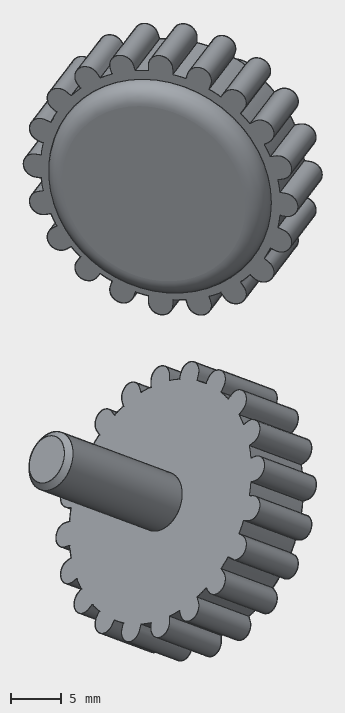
import cadquery as cq

outer_diameter = 28.5
total_length = 25.3

tooth_count = 20
tooth_width = 2.55
root_diameter = 24.9
grip_length = 7.32

cap_diameter = 23.0
cap_height = 2.0

shank_diameter = 6.0
shank_chamfer = 0.6
shank_length = total_length - cap_height - grip_length

tooth_radius = tooth_width / 2
tooth_center_radius = outer_diameter / 2 - tooth_radius


def cylinder_along_y(diameter, start, length):
    """Solid cylinder on the Y axis, from Y = start toward +Y."""
    plane = cq.Workplane("XZ", origin=(0, start, 0))
    return plane.circle(diameter / 2).extrude(-length)


def make_tooth():
    """Grip tooth on the +X side, with straight flanks and a full round tip."""
    return (
        cq.Workplane("XZ")
        .moveTo(0, -tooth_radius)
        .lineTo(tooth_center_radius, -tooth_radius)
        .threePointArc((outer_diameter / 2, 0), (tooth_center_radius, tooth_radius))
        .lineTo(0, tooth_radius)
        .close()
        .extrude(-grip_length)
    )


def make_grip():
    """Root cylinder with the teeth spaced evenly around it."""
    grip = cylinder_along_y(root_diameter, 0, grip_length)
    tooth = make_tooth()
    for index in range(tooth_count):
        angle = index * 360 / tooth_count
        grip = grip.union(tooth.rotate((0, 0, 0), (0, 1, 0), angle))
    return grip


def make_cap():
    """Low dome with a flat face and a quarter-round edge."""
    flat_radius = cap_diameter / 2 - cap_height
    return (
        cq.Workplane("XY")
        .lineTo(cap_diameter / 2, 0)
        .radiusArc((flat_radius, -cap_height), cap_height)
        .lineTo(0, -cap_height)
        .close()
        .revolve(360, (0, 0, 0), (0, 1, 0))
    )


def make_shank():
    """Pin leaving the back of the grip, chamfered at its free end."""
    shank = cylinder_along_y(shank_diameter, grip_length, shank_length)
    return shank.faces(">Y").chamfer(shank_chamfer)


result = make_grip().union(make_cap()).union(make_shank())